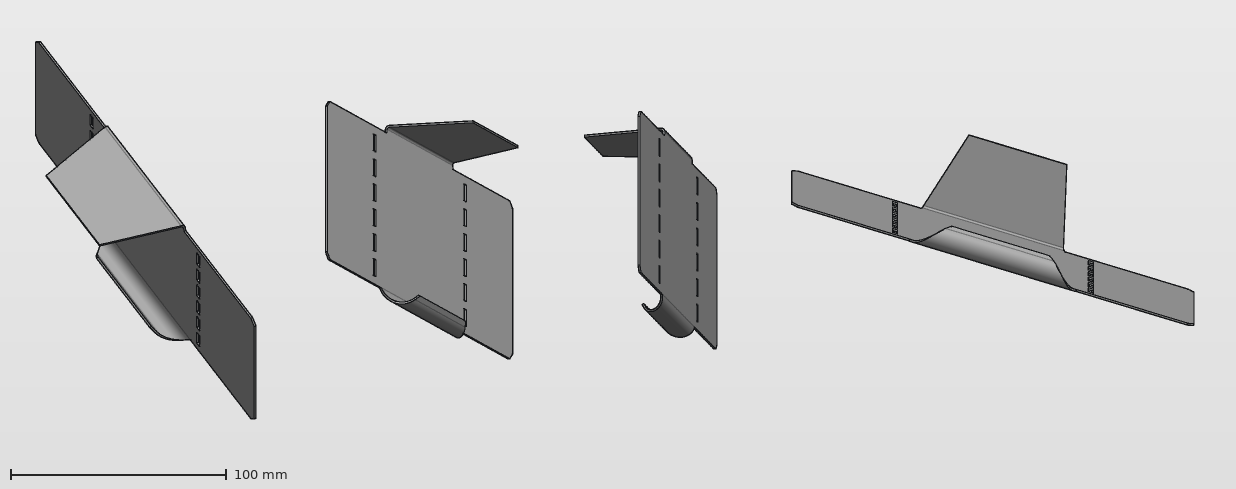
import cadquery as cq
import math

THICKNESS = 1.0
PLATE_LENGTH = 195.0
PLATE_HEIGHT = 76.0
CORNER_CHAMFER = 3.0

SLOT_WIDTH = 2.5
SLOT_HEIGHT = 8.0
SLOT_COUNT = 6
SLOT_PITCH = 12.0
SLOT_COLUMN_OFFSET = 47.5

TAB_DEPTH = 40.0
TAB_RISE = 3.8
TAB_BEND_RADIUS = 2.0
TAB_ROOT_WIDTH = 70.0
TAB_TIP_WIDTH = 47.5
TAB_BEND_ANGLE = 90.0
TAB_NECK = TAB_RISE - TAB_BEND_RADIUS
TAB_FLANGE_LENGTH = TAB_DEPTH - TAB_BEND_RADIUS

HOOK_NECK = 0.0
HOOK_BEND_RADIUS = 6.2
HOOK_BEND_ANGLE = 147.0
HOOK_LIP_LENGTH = 2.6
HOOK_ROOT_WIDTH = 81.0
HOOK_TIP_WIDTH = 47.5

BEND_STATIONS = 9


def make_plate():
    """Flat plate with its back on Y = 0, its lower edge on Z = 0 and chamfered corners."""
    plate = cq.Workplane("XY").box(PLATE_LENGTH, THICKNESS, PLATE_HEIGHT)
    plate = plate.edges("|Y").chamfer(CORNER_CHAMFER)
    return plate.translate((0, -THICKNESS / 2, PLATE_HEIGHT / 2))


def make_slots():
    """Cutters for both columns of slots, centred on the plate height."""
    return (
        cq.Workplane("XZ", origin=(0, 0, PLATE_HEIGHT / 2))
        .rarray(2 * SLOT_COLUMN_OFFSET, SLOT_PITCH, 2, SLOT_COUNT)
        .rect(SLOT_WIDTH, SLOT_HEIGHT)
        .extrude(THICKNESS)
    )


def make_panel(root_width, tip_width, length):
    """Flat trapezoid rising from Z = 0, with its outer face on Y = 0."""
    return (
        cq.Workplane("XZ")
        .moveTo(-root_width / 2, 0)
        .lineTo(root_width / 2, 0)
        .lineTo(tip_width / 2, length)
        .lineTo(-tip_width / 2, length)
        .close()
        .extrude(THICKNESS)
    )


def make_bend(start_width, end_width, outer_radius, angle):
    """Cylindrical bend rising from Z = 0 toward -Y, its width tapering evenly with the angle."""
    shell = (
        cq.Workplane("YZ", origin=(-start_width / 2, -outer_radius, 0))
        .circle(outer_radius)
        .circle(outer_radius - THICKNESS)
        .extrude(start_width)
    )
    middle_radius = outer_radius - THICKNESS / 2
    envelope_thickness = 2 * THICKNESS
    sections = []
    for station in range(BEND_STATIONS):
        fraction = station / (BEND_STATIONS - 1)
        turn = math.radians(angle * fraction)
        width = start_width + (end_width - start_width) * fraction
        center = cq.Vector(
            0,
            middle_radius * math.cos(turn) - outer_radius,
            middle_radius * math.sin(turn),
        )
        along_sheet = cq.Vector(0, -math.sin(turn), math.cos(turn))
        section_plane = cq.Plane(center, cq.Vector(1, 0, 0), along_sheet)
        sections.append(cq.Workplane(section_plane).rect(width, envelope_thickness).val())
    envelope = cq.Solid.makeLoft(sections)
    return shell.intersect(cq.Workplane(envelope))


def make_bent_tab(root_width, tip_width, neck, outer_radius, angle, flange):
    """Neck, bend and flange rising from Z = 0, with sides straight in the flat pattern."""
    bend_length = math.radians(angle) * (outer_radius - THICKNESS / 2)
    taper = (tip_width - root_width) / (neck + bend_length + flange)
    bend_start_width = root_width + taper * neck
    bend_end_width = bend_start_width + taper * bend_length

    tab = make_bend(bend_start_width, bend_end_width, outer_radius, angle)
    flange_panel = (
        make_panel(bend_end_width, tip_width, flange)
        .translate((0, outer_radius, 0))
        .rotate((0, 0, 0), (1, 0, 0), angle)
        .translate((0, -outer_radius, 0))
    )
    tab = tab.union(flange_panel).translate((0, 0, neck))
    if neck > 0:
        tab = tab.union(make_panel(root_width, bend_start_width, neck))
    return tab


def make_top_tab():
    """Flange that folds forward above the plate."""
    tab = make_bent_tab(
        TAB_ROOT_WIDTH,
        TAB_TIP_WIDTH,
        TAB_NECK,
        TAB_BEND_RADIUS,
        TAB_BEND_ANGLE,
        TAB_FLANGE_LENGTH,
    )
    return tab.translate((0, 0, PLATE_HEIGHT))


def make_bottom_hook():
    """Curled lip that folds forward and up below the plate."""
    hook = make_bent_tab(
        HOOK_ROOT_WIDTH,
        HOOK_TIP_WIDTH,
        HOOK_NECK,
        HOOK_BEND_RADIUS,
        HOOK_BEND_ANGLE,
        HOOK_LIP_LENGTH,
    )
    return hook.mirror("XY")


result = make_plate().cut(make_slots()).union(make_top_tab()).union(make_bottom_hook())